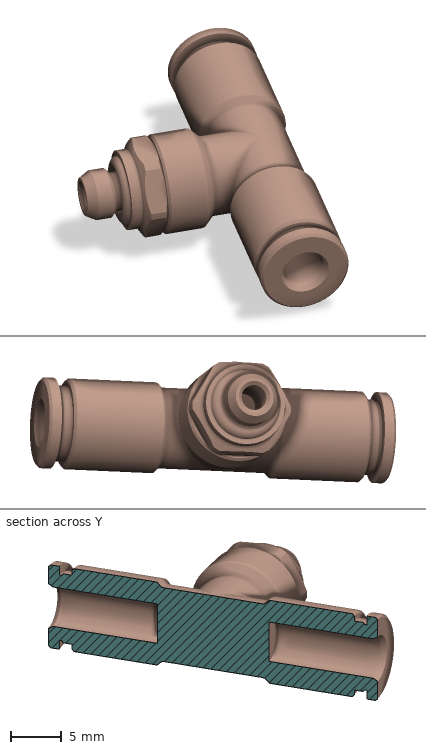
import cadquery as cq
import math

neck_radius = 4.0
junction_fillet = 0.5
shoulder_fillet = 0.5

run_length = 35.21
run_half_length = run_length / 2
run_body_radius = 4.5
run_body_start = 6.0
run_cone_start = run_body_start - (run_body_radius - neck_radius)
run_body_end = 15.1
run_chamfer = 0.25
neck_lap = 0.3
collar_radius = 3.75
collar_groove_radius = 3.55
collar_end = 16.0
groove_start = 16.2
ring_thickness = 1.2
tube_bore_radius = 2.1
tube_bore_mouth_radius = 2.4
tube_bore_flare = 0.5
tube_bore_depth = run_half_length - run_body_start

branch_length = 18.0
branch_body_radius = 5.0
branch_cone_start = 5.45
branch_fillet = 0.4
branch_body_end = 10.5
branch_chamfer = 0.25

hex_across_flats = 9.0
hex_corner_radius = 5.0
hex_end = 12.9
bevel_slope = math.tan(math.radians(30))

flange_end = 14.0
thread_radius = 2.5
thread_root_radius = 1.95
seal_radius = 3.5
seal_face = 14.63
relief_end = 14.95
thread_end = 17.0
port_bore_radius = 1.25
port_mouth_radius = 1.6
port_flare = port_mouth_radius - port_bore_radius
port_bore_depth = branch_length - hex_end


def bore_cutter(radius, mouth_radius, flare, depth):
    """Blind bore running from the origin along +X, its mouth flared over the given depth."""
    profile = [(0, 0), (0, mouth_radius), (flare, radius), (depth, radius), (depth, 0)]
    return cq.Workplane("XY").polyline(profile).close().revolve(360, (0, 0, 0), (1, 0, 0))


def on_circle(solid, radius, distance, axis):
    """Circular edge of the given radius lying at a distance along +X or -Y."""
    def matches(edge):
        center = edge.Center()
        along = center.x if axis == "X" else -center.y
        is_round = edge.geomType() == "CIRCLE"
        return is_round and abs(along - distance) < 1e-3 and abs(edge.radius() - radius) < 1e-3
    return solid.newObject([edge for edge in solid.edges().vals() if matches(edge)])


def neck_tee():
    """Run neck and branch neck, blended along their mitred junction."""
    run = cq.Workplane("YZ").circle(neck_radius).extrude(run_cone_start - neck_lap, both=True)
    branch = cq.Workplane("XZ").circle(neck_radius).extrude(branch_cone_start - neck_lap)
    return run.union(branch).edges("%ELLIPSE").fillet(junction_fillet)


def run_socket():
    """Stepped socket on the +X end of the run, before boring."""
    ring_start = run_half_length - ring_thickness
    profile = [
        (run_cone_start - neck_lap, 0),
        (run_cone_start - neck_lap, neck_radius),
        (run_cone_start, neck_radius),
        (run_body_start, run_body_radius),
        (run_body_end - run_chamfer, run_body_radius),
        (run_body_end, run_body_radius - run_chamfer),
        (run_body_end, collar_radius),
        (collar_end, collar_radius),
        (groove_start, collar_groove_radius),
        (ring_start, collar_groove_radius),
        (ring_start, run_body_radius),
        (run_half_length - run_chamfer, run_body_radius),
        (run_half_length, run_body_radius - run_chamfer),
        (run_half_length, 0),
    ]
    socket = cq.Workplane("XY").polyline(profile).close().revolve(360, (0, 0, 0), (1, 0, 0))
    return on_circle(socket, neck_radius, run_cone_start, "X").fillet(shoulder_fillet)


def revolve_along_branch(profile):
    """Turn a (distance, radius) profile about the branch axis, distance running along -Y."""
    points = [(radius, -distance) for distance, radius in profile]
    return cq.Workplane("XY").polyline(points).close().revolve(360, (0, 0, 0), (0, 1, 0))


def branch_body():
    """Cylindrical branch body with a blended cone leading up from the neck."""
    cone_end = branch_cone_start + branch_body_radius - neck_radius
    body = revolve_along_branch([
        (branch_cone_start - neck_lap, 0),
        (branch_cone_start - neck_lap, neck_radius),
        (branch_cone_start, neck_radius),
        (cone_end, branch_body_radius),
        (branch_body_end - branch_chamfer, branch_body_radius),
        (branch_body_end, branch_body_radius - branch_chamfer),
        (branch_body_end, 0),
    ])
    body = on_circle(body, neck_radius, branch_cone_start, "Y").fillet(branch_fillet)
    return on_circle(body, branch_body_radius, cone_end, "Y").fillet(branch_fillet)


def hex_nut():
    """Hexagon with corners on the X axis, turned to a bevelled round at both ends."""
    flat_radius = hex_across_flats / 2
    corner_diameter = hex_across_flats / math.cos(math.pi / 6)
    prism = (
        cq.Workplane("XZ")
        .workplane(offset=branch_body_end)
        .polygon(6, corner_diameter)
        .extrude(hex_end - branch_body_end)
    )
    bevelled_round = revolve_along_branch([
        (branch_body_end, 0),
        (branch_body_end, flat_radius),
        (branch_body_end + (hex_corner_radius - flat_radius) * bevel_slope, hex_corner_radius),
        (hex_end - (hex_corner_radius - neck_radius) * bevel_slope, hex_corner_radius),
        (hex_end, neck_radius),
        (hex_end, 0),
    ])
    return prism.intersect(bevelled_round)


def threaded_spigot():
    """Flange, thread relief and plain threaded end with a tapered tip."""
    tip_taper = branch_length - thread_end
    return revolve_along_branch([
        (hex_end, 0),
        (hex_end, neck_radius),
        (flange_end, neck_radius),
        (flange_end, thread_root_radius),
        (relief_end, thread_root_radius),
        (relief_end + thread_radius - thread_root_radius, thread_radius),
        (thread_end, thread_radius),
        (branch_length, thread_radius - tip_taper * bevel_slope),
        (branch_length, 0),
    ])


def sealing_ring():
    """O-ring seated on the thread relief and against the flange."""
    cord_radius = (seal_radius - thread_root_radius) / 2
    ring_radius = seal_radius - cord_radius
    cord_center = (ring_radius, cord_radius - seal_face)
    cord = cq.Workplane("XY").center(*cord_center).circle(cord_radius)
    return cord.revolve(360, (-ring_radius, 0, 0), (-ring_radius, 1, 0))


socket = run_socket()
tube_bore = bore_cutter(tube_bore_radius, tube_bore_mouth_radius, tube_bore_flare, tube_bore_depth)
tube_bore = tube_bore.translate((-run_half_length, 0, 0))
port_bore = bore_cutter(port_bore_radius, port_mouth_radius, port_flare, port_bore_depth)
port_bore = port_bore.rotate((0, 0, 0), (0, 0, 1), 90).translate((0, -branch_length, 0))

result = (
    neck_tee()
    .union(socket)
    .union(socket.mirror("YZ"))
    .union(branch_body())
    .union(hex_nut())
    .union(threaded_spigot())
    .union(sealing_ring())
    .cut(tube_bore)
    .cut(tube_bore.mirror("YZ"))
    .cut(port_bore)
)